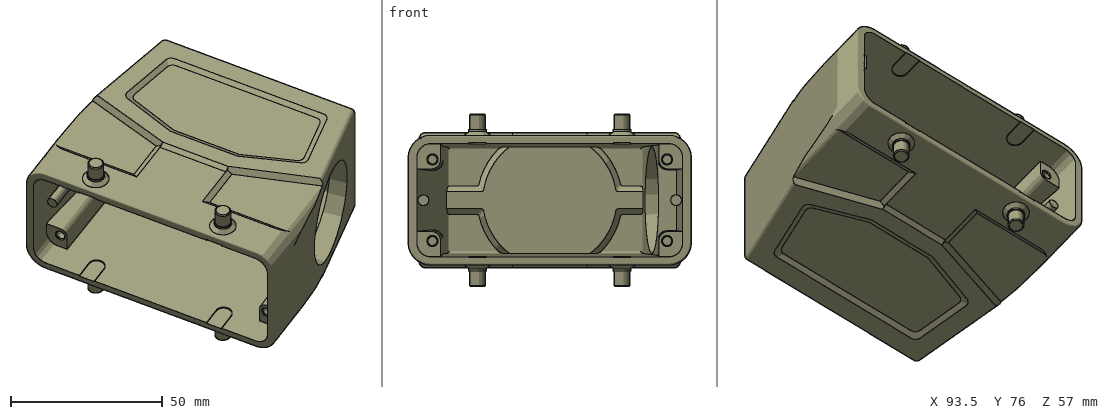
import cadquery as cq
import math

length = 76.0
half_width = 46.75
skirt_half_height = 21.4
skirt_radius = 7.5
block_half_height = 22.3
taper_start_y = 10.75
taper_break_y = 31.9
taper_break_x = 44.6
back_half_width = 36.1
block_edge_radius = 1.9
rim_radius = 0.6

block_centre_y = 31.2
block_side_x = 43.0
block_side_y = 41.0
block_centre_x = 12.3
block_wall_angle = 40.0
ramp_length = 1.8
pad_floor_z = 20.5
pad_front_y = 13.3
pad_side_run = 1.9
pad_front_run = 1.5
pad_edge_radius = 2.6
pad_cut_depth = 2.3
label_depth = 0.9
label_wall_run = 1.9
label_corner_radius = 5.6
label_back_y = 68.35
label_back_x = 29.8
label_side_y = 44.8
label_side_x = 34.3
label_front_y = 37.0
label_front_x = 12.6

wall = 2.9
cavity_half_height = 18.7
cavity_back_half_height = 17.6
cavity_radius = 4.7
cavity_back_fillet = 0.8
cavity_front_x = half_width - wall
cavity_break_x = taper_break_x - wall
cavity_back_x = 33.7
cavity_back_y = length - wall
ledge_y = 30.4
ledge_outer_x = 41.9
ledge_edge_radius = 0.9
ledge_inner_x = 36.0
entry_wall_back_x = 30.6
entry_radius = 17.6
entry_y = 48.6

back_relief = 1.9
back_relief_angle = 45.0
disc_radius = 23.9
band_half_height = 4.7
relief_corner_radius = 1.4

boss_front_y = 9.0
boss_inner_x = 36.1
boss_inner_z = 10.4
boss_draft = 0.9
boss_radius = 3.7
screw_x = 38.7
screw_z = 13.5
screw_diameter = 3.0
screw_chamfer = 0.33
screw_depth = 11.2
key_x = 41.7
key_radius = 1.8

pin_x = 23.8
pin_y = 6.2
pin_radius = 2.6
pin_top_z = 28.5
pin_chamfer = 0.4
collar_radius = 2.9
collar_top_z = 23.4
cone_top_z = 22.6
cone_radius = 4.4
slot_radius = 2.8
slot_depth = 0.3
slot_end_y = 9.4

OVERSIZE = 56.1


def mirrored(points):
    """Close a right-hand XY outline with its mirror image in X."""
    return points + [(-x, y) for x, y in reversed(points)]


def both_faces(solid):
    """A top feature together with its mirror image on the bottom."""
    return solid.union(solid.mirror("XY"))


def prism(points, half_height):
    """XY outline extruded equally above and below Z = 0."""
    return cq.Workplane("XY").polyline(points).close().extrude(half_height, both=True)


def along_y(width, height, radius, depth):
    """Rounded rectangular bar running from Y = 0 toward the back."""
    bar = cq.Workplane("XZ").rect(width, height).extrude(-depth)
    return bar.edges("|Y").fillet(radius)


def tapered_outline():
    """Plan outline narrowing toward the back, with all edges behind the rim rounded."""
    plan = mirrored([
        (half_width, 0),
        (half_width, taper_start_y),
        (taper_break_x, taper_break_y),
        (back_half_width, length),
    ])
    body = prism(plan, block_half_height)
    body = body.edges("|Z and >Y").fillet(block_edge_radius)
    return body.faces("|Z").edges("not <Y").fillet(block_edge_radius)


def rear_block():
    """Block behind a sloping front wall, with a ramp down to the skirt in the middle."""
    slope = (block_side_y - block_centre_y) / (block_side_x - block_centre_x)
    reach_y = block_centre_y + slope * (OVERSIZE - block_centre_x)
    wall_height = block_half_height - pad_floor_z
    wall_run = wall_height * math.tan(math.radians(block_wall_angle))
    slant_run = wall_run * math.hypot(1, slope)
    foot = mirrored([
        (block_centre_x, block_centre_y - wall_run),
        (OVERSIZE, reach_y - slant_run),
        (OVERSIZE, length + OVERSIZE),
    ])
    core = prism(foot, pad_floor_z)
    cap = cq.Workplane("XY").workplane(offset=pad_floor_z).polyline(foot).close()
    cap = cap.extrude(wall_height, taper=block_wall_angle)
    ramp = (
        cq.Workplane("YZ").moveTo(block_centre_y, block_half_height)
        .lineTo(block_centre_y - ramp_length, skirt_half_height)
        .lineTo(block_centre_y, skirt_half_height).close()
        .extrude(block_centre_x, both=True)
    )
    return core.union(both_faces(cap.union(ramp)))


def pad_floor_bar():
    """Bar whose flat top and rounded long edges form the floors of the side pads."""
    bar = along_y(2 * half_width, 2 * skirt_half_height, skirt_radius, length)
    slab = cq.Workplane("XY").box(4 * OVERSIZE, 4 * OVERSIZE, 2 * pad_floor_z)
    bar = bar.intersect(slab)
    return bar.faces("|Z").edges("|Y").fillet(pad_edge_radius)


def side_pads():
    """Recesses at the four front corners with sloping walls, sunk to the pad floors."""
    steepness = pad_cut_depth / (skirt_half_height - pad_floor_z)
    side_run = pad_side_run * steepness
    front_run = pad_front_run * steepness
    top_width = OVERSIZE - block_centre_x
    top_length = OVERSIZE - pad_front_y
    pad = (
        cq.Workplane("XY", origin=(OVERSIZE, OVERSIZE, skirt_half_height))
        .center(-top_width / 2, -top_length / 2).rect(top_width, top_length)
        .workplane(offset=-pad_cut_depth)
        .center(side_run / 2, front_run / 2)
        .rect(top_width - side_run, top_length - front_run)
        .loft(ruled=True)
    )
    pads = both_faces(pad.union(pad.mirror("YZ")))
    return pads.cut(pad_floor_bar())


def label_recess():
    """Shallow panel with sloping walls."""
    outline = mirrored([
        (label_front_x, label_front_y),
        (label_side_x, label_side_y),
        (label_back_x, label_back_y),
    ])
    angle = math.degrees(math.atan(label_wall_run / label_depth))
    cut = cq.Workplane("XY").workplane(offset=block_half_height).polyline(outline).close()
    cut = cut.extrude(-label_depth, taper=angle)
    rounded_corners = cut.edges("not #Z").edges("not <Y")
    cut = rounded_corners.fillet(label_corner_radius)
    return both_faces(cut)


def cavity_space():
    """Inner space, with the wall on the +X side thickened behind a ledge."""
    plan = [
        (-cavity_front_x, 0),
        (cavity_front_x, 0),
        (cavity_front_x, taper_start_y),
        (ledge_outer_x, ledge_y),
        (ledge_inner_x, ledge_y),
        (entry_wall_back_x, cavity_back_y),
        (-cavity_back_x, cavity_back_y),
        (-cavity_break_x, taper_break_y),
        (-cavity_front_x, taper_start_y),
    ]
    height_profile = [
        (0, -cavity_half_height),
        (0, cavity_half_height),
        (cavity_back_y, cavity_back_half_height),
        (cavity_back_y, -cavity_back_half_height),
    ]
    drafted = cq.Workplane("YZ").polyline(height_profile).close().extrude(half_width, both=True)
    space = prism(plan, cavity_half_height)
    space = space.edges(cq.NearestToPointSelector((ledge_inner_x, ledge_y, 0))).fillet(ledge_edge_radius)
    space = space.intersect(drafted)
    space = space.faces(">Y").edges().fillet(cavity_back_fillet)
    opening = along_y(2 * cavity_front_x, 2 * cavity_half_height, cavity_radius, length)
    return space.intersect(opening)


def back_relief_pad():
    """Disc and crossing band that stand forward of the cavity back."""
    base = cq.Workplane("XZ", origin=(0, cavity_back_y, 0))
    disc = base.circle(disc_radius).extrude(back_relief, taper=back_relief_angle)
    band = base.rect(2 * half_width, 2 * band_half_height).extrude(back_relief, taper=back_relief_angle)
    pad = disc.union(band)
    inner_corners = pad.edges("%PARABOLA")
    return inner_corners.fillet(relief_corner_radius)


def bosses_and_keys():
    """Four drafted screw bosses in the corners and a half-round key on each side wall."""
    boss_length = cavity_back_y - boss_front_y
    growth = boss_length * math.tan(math.radians(boss_draft))
    base = cq.Workplane("XZ", origin=(0, cavity_back_y, 0))
    inner_x = boss_inner_x - growth
    inner_z = boss_inner_z - growth
    boss = (
        base.moveTo(OVERSIZE, inner_z)
        .lineTo(inner_x + boss_radius, inner_z)
        .radiusArc((inner_x, inner_z + boss_radius), boss_radius)
        .lineTo(inner_x, OVERSIZE).lineTo(OVERSIZE, OVERSIZE).close()
        .extrude(boss_length, taper=boss_draft)
    )
    key = base.center(key_x, 0).circle(key_radius).extrude(boss_length)
    side = both_faces(boss).union(key)
    return side.union(side.mirror("YZ"))


def screw_holes():
    """Blind screw holes in the boss faces, each with a chamfered mouth."""
    spots = [(sx * screw_x, sz * screw_z) for sx in (-1, 1) for sz in (-1, 1)]
    mouth = cq.Workplane("XZ", origin=(0, boss_front_y, 0)).pushPoints(spots)
    holes = mouth.circle(screw_diameter / 2).extrude(-screw_depth)
    countersinks = mouth.circle(screw_diameter / 2 + screw_chamfer).extrude(-screw_chamfer, taper=45)
    return holes.union(countersinks)


def locking_pin(x):
    """Pin with collar and conical foot, pointing out of the top and the bottom."""
    profile = [
        (0, cavity_half_height + slot_depth),
        (cone_radius, cavity_half_height + slot_depth),
        (cone_radius, skirt_half_height),
        (collar_radius, cone_top_z),
        (collar_radius, collar_top_z),
        (pin_radius, collar_top_z),
        (pin_radius, pin_top_z - pin_chamfer),
        (pin_radius - pin_chamfer, pin_top_z),
        (0, pin_top_z),
    ]
    pin = cq.Workplane("XZ").polyline(profile).close().revolve(360, (0, 0, 0), (0, 1, 0))
    return both_faces(pin.translate((x, pin_y, 0)))


def pin_slot(x):
    """Shallow round-ended slots inside, running from the open end over the pin feet."""
    top = cavity_half_height + slot_depth
    slot = (
        cq.Workplane("XY", origin=(x, slot_end_y - slot_radius, cavity_back_half_height))
        .moveTo(-slot_radius, -slot_end_y).lineTo(-slot_radius, 0)
        .threePointArc((0, slot_radius), (slot_radius, 0))
        .lineTo(slot_radius, -slot_end_y).close()
        .extrude(top - cavity_back_half_height)
    )
    return both_faces(slot)


skirt = along_y(2 * half_width, 2 * skirt_half_height, skirt_radius, length)
skirt = skirt.faces("<Y").edges().fillet(rim_radius)
hood = skirt.cut(side_pads()).union(rear_block()).intersect(tapered_outline())
hood = hood.cut(label_recess())

cavity = cavity_space()
hood = hood.cut(cavity)
hood = hood.union(bosses_and_keys().union(back_relief_pad()).intersect(cavity))
hood = hood.cut(screw_holes())

entry_hole = cq.Workplane("YZ", origin=(entry_wall_back_x - wall, 0, 0))
entry_hole = entry_hole.center(entry_y, 0).circle(entry_radius).extrude(OVERSIZE)
hood = hood.cut(entry_hole)

for x in (-pin_x, pin_x):
    hood = hood.union(locking_pin(x))
    hood = hood.cut(pin_slot(x))

result = hood